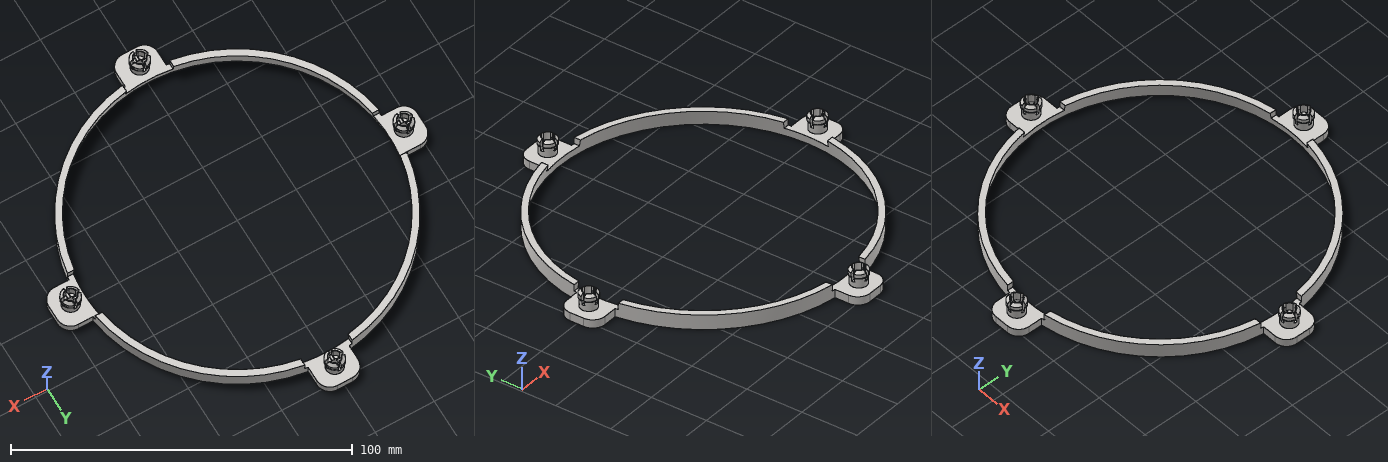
import cadquery as cq

ring_outer_diameter = 107.0
ring_bottom_bore_diameter = 103.9
ring_top_bore_diameter = 102.2
ring_height = 5.2
notch_width = 16.0

overall_size = 125.0
tab_width = 14.0
tab_height = 3.0
tab_corner_radius = 4.5
tab_count = 4
tab_end = overall_size / 2

pin_position = 56.5
pin_stem_diameter = 5.8
pin_lip_diameter = 6.4
pin_tip_diameter = 4.4
pin_top = 8.8
lip_bottom = 6.4
lip_top = 7.9
socket_diameter = 4.0
socket_floor = 5.8
pilot_diameter = 2.0
slot_width = 1.0
slot_floor = 4.9


def cylinder(diameter, bottom, top):
    return cq.Workplane("XY").workplane(offset=bottom).circle(diameter / 2).extrude(top - bottom)


def block(length, width, bottom, top):
    return cq.Workplane("XY").workplane(offset=bottom).rect(length, width).extrude(top - bottom)


def make_ring():
    """Solid ring blank, lowered to the tab height where it passes each tab."""
    ring = cylinder(ring_outer_diameter, 0, ring_height)
    for length, width in ((overall_size, notch_width), (notch_width, overall_size)):
        ring = ring.cut(block(length, width, tab_height, ring_height))
    return ring


def make_ring_bore():
    """Tapered opening of the ring, wider at the bottom."""
    bottom = cq.Workplane("XY").circle(ring_bottom_bore_diameter / 2)
    return bottom.workplane(offset=ring_height).circle(ring_top_bore_diameter / 2).loft(ruled=True)


def make_tab():
    """Flat tab on the +X side, running inward to the centre of the ring, with rounded outer corners."""
    tab = cq.Workplane("XY").rect(tab_end, tab_width).extrude(tab_height)
    tab = tab.edges("|Z and >X").fillet(tab_corner_radius)
    return tab.translate((tab_end / 2, 0, 0))


def make_pin():
    """Slotted snap pin on the Z axis, with a tapered lip and a stepped socket."""
    stem_radius = pin_stem_diameter / 2
    lip_radius = pin_lip_diameter / 2
    tip_radius = pin_tip_diameter / 2
    half_profile = [
        (0, tab_height),
        (stem_radius, tab_height),
        (stem_radius, lip_bottom),
        (lip_radius, lip_bottom),
        (lip_radius, lip_top),
        (tip_radius, pin_top),
        (0, pin_top),
    ]
    pin = cq.Workplane("XZ").polyline(half_profile).close().revolve(360, (0, 0, 0), (0, 1, 0))
    pin = pin.cut(cylinder(socket_diameter, socket_floor, pin_top))
    pin = pin.cut(cylinder(pilot_diameter, tab_height, pin_top))
    for length, width in ((pin_lip_diameter, slot_width), (slot_width, pin_lip_diameter)):
        pin = pin.cut(block(length, width, slot_floor, pin_top))
    return pin


def around_ring(shape):
    """Copies of a +X side shape, one for each tab position."""
    return [shape.rotate((0, 0, 0), (0, 0, 1), index * 360 / tab_count) for index in range(tab_count)]


body = make_ring()
for tab in around_ring(make_tab()):
    body = body.union(tab)
body = body.cut(make_ring_bore())
for pin in around_ring(make_pin().translate((pin_position, 0, 0))):
    body = body.union(pin)

result = body